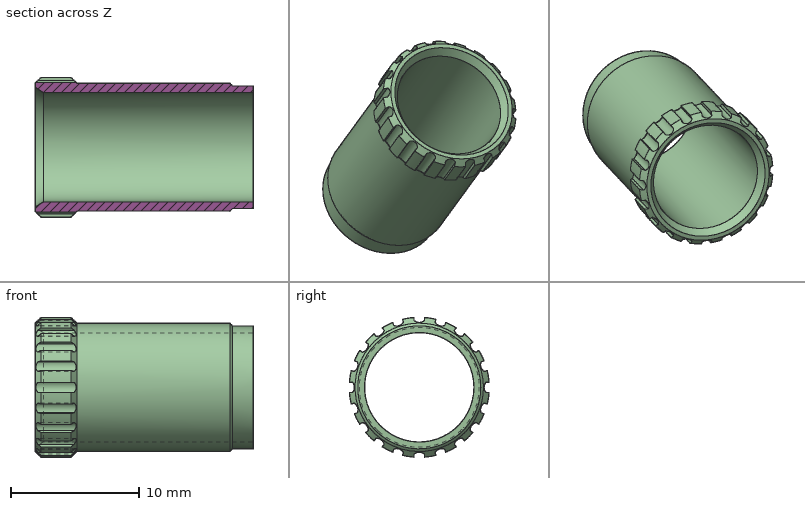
import cadquery as cq

total_length = 17.0
collar_length = 3.26
spigot_length = 1.62
bore_mouth_depth = 0.64

bore_diameter = 8.5
bore_mouth_diameter = 9.34
spigot_diameter = 9.58
body_diameter = 10.0
collar_diameter = 10.92

groove_count = 20
groove_width = 0.78
groove_floor_radius = 5.06
groove_wall_foot_radius = 5.2

bore_radius = bore_diameter / 2
bore_mouth_radius = bore_mouth_diameter / 2
spigot_radius = spigot_diameter / 2
body_radius = body_diameter / 2
collar_radius = collar_diameter / 2
collar_chamfer = collar_radius - body_radius
shoulder_x = total_length - spigot_length
shoulder_chamfer = body_radius - spigot_radius


def make_sleeve():
    """Revolve the wall: chamfered collar, body, chamfered shoulder, spigot and conical bore mouth."""
    section = (
        cq.Workplane("XY")
        .moveTo(0, bore_mouth_radius)
        .lineTo(0, body_radius)
        .lineTo(collar_chamfer, collar_radius)
        .lineTo(collar_length - collar_chamfer, collar_radius)
        .lineTo(collar_length, body_radius)
        .lineTo(shoulder_x - shoulder_chamfer, body_radius)
        .lineTo(shoulder_x, spigot_radius)
        .lineTo(total_length, spigot_radius)
        .lineTo(total_length, bore_radius)
        .lineTo(bore_mouth_depth, bore_radius)
        .close()
    )
    return section.revolve(360, (0, 0, 0), (1, 0, 0))


def make_groove_cutter():
    """Straight-walled groove with a shallow arched floor, at the +Z side of the collar."""
    half_width = groove_width / 2
    top_radius = collar_radius + half_width
    return (
        cq.Workplane("YZ")
        .moveTo(-half_width, top_radius)
        .lineTo(-half_width, groove_wall_foot_radius)
        .threePointArc((0, groove_floor_radius), (half_width, groove_wall_foot_radius))
        .lineTo(half_width, top_radius)
        .close()
        .extrude(collar_length)
    )


def cut_grip_grooves(sleeve):
    """Cut the evenly spaced grooves along the whole collar."""
    cutter = make_groove_cutter()
    for index in range(groove_count):
        angle = index * 360 / groove_count
        sleeve = sleeve.cut(cutter.rotate((0, 0, 0), (1, 0, 0), angle))
    return sleeve


result = cut_grip_grooves(make_sleeve())